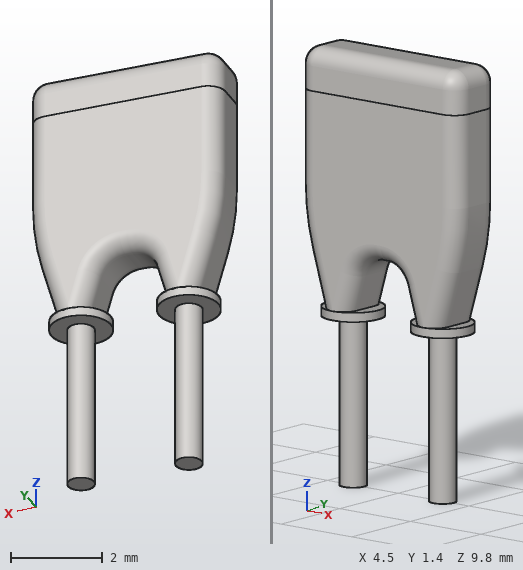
import cadquery as cq
import math

total_height = 9.8
body_width = 4.5
body_thickness = 1.4
edge_radius = 0.4
seam_height = 8.84
shoulder_height = 6.75
shoulder_radius = 5.29
leg_angle = math.radians(16.3)
arch_height = 5.25
arch_radius = 0.62
arch_flat = 0.16
leg_bottom = 4.0
collar_diameter = body_thickness
collar_thickness = 0.21
lead_diameter = 0.61
lead_pitch = 2.54
trim_margin = 0.98

half_width = body_width / 2
collar_bottom = leg_bottom - collar_thickness
lead_positions = (-lead_pitch / 2, lead_pitch / 2)
tool_bottom = leg_bottom - trim_margin


def extrude_through_thickness(outline):
    """Extrude an XZ outline symmetrically about the Y = 0 plane."""
    return outline.extrude(body_thickness / 2, both=True)


def arc_offsets(radius, angle):
    """Sideways and axial travel of an arc that starts along an axis."""
    return radius * (1 - math.cos(angle)), radius * math.sin(angle)


def make_cap():
    """Top end of the body, rounded on all edges except its seam face."""
    cap_height = total_height - seam_height
    return (
        cq.Workplane("XY")
        .workplane(offset=seam_height)
        .rect(body_width, body_thickness)
        .extrude(cap_height)
        .edges("|Z or >Z")
        .fillet(edge_radius)
    )


def make_shouldered_blank():
    """Housing blank with tapered outer sides, not yet divided into legs."""
    mid_in, mid_down = arc_offsets(shoulder_radius, leg_angle / 2)
    end_in, end_down = arc_offsets(shoulder_radius, leg_angle)
    mid_x = half_width - mid_in
    mid_z = shoulder_height - mid_down
    end_x = half_width - end_in
    end_z = shoulder_height - end_down
    bottom_x = end_x - (end_z - tool_bottom) * math.tan(leg_angle)
    outline = (
        cq.Workplane("XZ")
        .moveTo(-half_width, seam_height)
        .lineTo(half_width, seam_height)
        .lineTo(half_width, shoulder_height)
        .threePointArc((mid_x, mid_z), (end_x, end_z))
        .lineTo(bottom_x, tool_bottom)
        .lineTo(-bottom_x, tool_bottom)
        .lineTo(-end_x, end_z)
        .threePointArc((-mid_x, mid_z), (-half_width, shoulder_height))
        .close()
    )
    blank = extrude_through_thickness(outline)
    side_edges = blank.faces("<Y or >Y").edges("not(<Z or >Z)")
    return side_edges.fillet(edge_radius)


def make_arch_envelope():
    """Oversized block with a rounded arch, which shapes the inner leg sides."""
    turn = math.pi / 2 - leg_angle
    mid_drop, mid_out = arc_offsets(arch_radius, turn / 2)
    end_drop, end_out = arc_offsets(arch_radius, turn)
    crown_x = arch_flat / 2
    mid_x = crown_x + mid_out
    mid_z = arch_height - mid_drop
    end_x = crown_x + end_out
    end_z = arch_height - end_drop
    bottom_x = end_x + (end_z - tool_bottom) * math.tan(leg_angle)
    outer_x = half_width + trim_margin
    outer_top = seam_height + trim_margin
    outline = (
        cq.Workplane("XZ")
        .moveTo(-outer_x, outer_top)
        .lineTo(outer_x, outer_top)
        .lineTo(outer_x, tool_bottom)
        .lineTo(bottom_x, tool_bottom)
        .lineTo(end_x, end_z)
        .threePointArc((mid_x, mid_z), (crown_x, arch_height))
        .lineTo(-crown_x, arch_height)
        .threePointArc((-mid_x, mid_z), (-end_x, end_z))
        .lineTo(-bottom_x, tool_bottom)
        .lineTo(-outer_x, tool_bottom)
        .close()
    )
    envelope = extrude_through_thickness(outline)
    arch_edges = envelope.faces("<Y or >Y").edges("not(<X or >X or <Z or >Z)")
    return arch_edges.fillet(edge_radius)


def make_housing():
    """Main body with two tapered legs, trimmed flat where the collars sit."""
    trim_block = (
        cq.Workplane("XY")
        .workplane(offset=leg_bottom)
        .rect(body_width + trim_margin, body_thickness + trim_margin)
        .extrude(seam_height - leg_bottom)
    )
    return make_shouldered_blank().intersect(make_arch_envelope()).intersect(trim_block)


def make_disc(x, bottom, diameter, height):
    """Upright cylinder centred at the given X position."""
    return cq.Workplane("XY", origin=(x, 0, bottom)).circle(diameter / 2).extrude(height)


def make_collar(x):
    """Flat disc under a leg."""
    return make_disc(x, collar_bottom, collar_diameter, collar_thickness)


def make_lead(x):
    """Round lead wire that ends against the underside of its collar."""
    return make_disc(x, 0, lead_diameter, collar_bottom)


cap = make_cap()
housing = make_housing()
collars = [make_collar(x).val() for x in lead_positions]
leads = [make_lead(x).val() for x in lead_positions]

result = cq.Compound.makeCompound([cap.val(), housing.solids().val(), *collars, *leads])